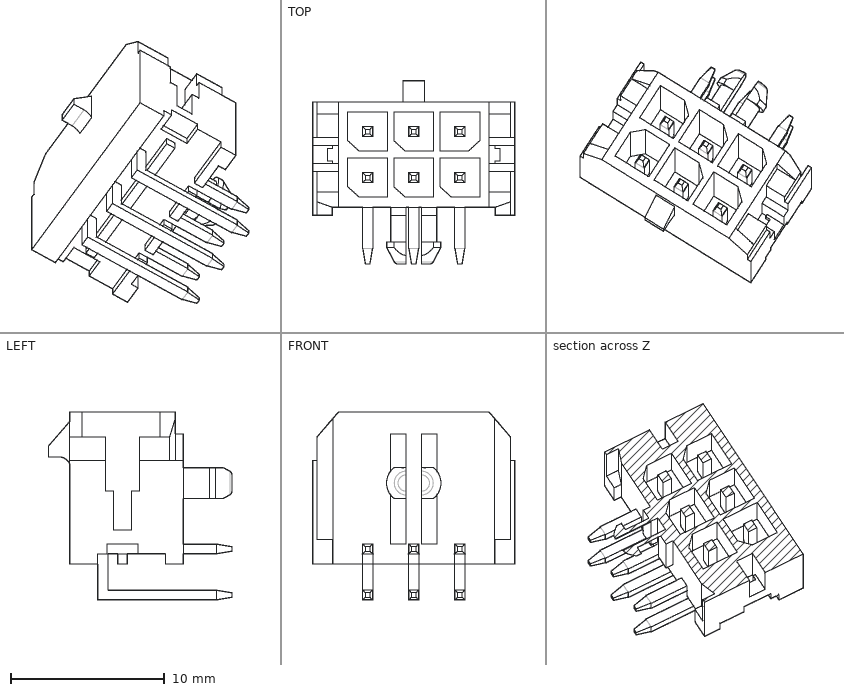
import cadquery as cq


OVERALL_X = 13.15
OVERALL_Y = 11.95
OVERALL_Z = 12.24

PITCH = 3.0
COLUMNS = (-PITCH, 0.0, PITCH)
ROWS = (-PITCH / 2, PITCH / 2)

BODY_TOP = 9.91
BODY_HALF_X = 4.9
BODY_HALF_Y = 3.44
STANDOFF_Y = -3.96

WING_HALF_X = 6.31
WING_TOP = 8.27
WING_BEVEL_START_X = 5.26
WING_BEVEL_END_Y = -3.07
REAR_GUSSET_Y = 2.64
FRONT_GUSSET_Y = -2.43

PLATE_HALF_X = OVERALL_X / 2
PLATE_TOP = 6.76
FOOT_INNER_X = 5.29
FOOT_TOP = 1.61

SLOT_HALF_Y = 1.1
SLOT_STEP_Z = 4.76
SLOT_LOWER_HALF_Y = 0.58
SLOT_FLOOR_Z = 2.23
CLIP_POCKET_FLOOR_Z = FOOT_TOP
CLIP_POCKET_X = 5.63
CLIP_POCKET_HALF_Y = 0.4
SIDE_NOTCH_HALF_Y = 1.0

CAVITY_X = 2.6
CAVITY_Y = 2.53
CAVITY_CORNER_X = 0.74
CAVITY_CORNER_Y = 0.68
CAVITY_FLOOR_Z = SLOT_FLOOR_Z

PIN_WIDTH = 0.7
PIN_THICKNESS = 0.64
PIN_TIP_BASE = PIN_THICKNESS
PIN_TIP_END = 0.3
PIN_TIP_LENGTH = 1.01
PIN_END_Y = -7.135
PIN_BOTTOM_Z = BODY_TOP - OVERALL_Z
CONTACT_TIP_Z = 7.4
REAR_TAIL_BACK_Y = 1.61
REAR_TAIL_DEPTH = 0.68

GAP_HEIGHT = 0.67
GAP_FRONT_Y = -2.8
GAP_BACK_Y = REAR_TAIL_BACK_Y
UNDER_RIB_HALF_Y = 0.32
FRONT_PIN_Z = GAP_HEIGHT + PIN_THICKNESS / 2

RIB_INNER_X = 0.49
RIB_OUTER_X = 1.5
RIB_BOTTOM = 1.3
RIB_TOP = 8.48

PEG_Z = 5.28
PEG_RADIUS = RIB_OUTER_X - RIB_INNER_X
PEG_HEAD_RADIUS = 1.28
PEG_HEAD_START_Y = -5.68
PEG_CONE_START_Y = -6.06
PEG_END_RADIUS = 0.7
PEG_END_ROUND = 0.28

LATCH_WIDTH = 1.43
LATCH_TIP_Y = PIN_END_Y + OVERALL_Y
LATCH_RAMP_TOP = 9.28
LATCH_TIP_TOP = 7.70
LATCH_TIP_BOTTOM = 6.97
LATCH_ARC_START_Y = 4.035
LATCH_ARC_BOTTOM = 6.53
LATCH_ARC_RADIUS = 0.8


def block(x0, x1, y0, y1, z0, z1):
    """Axis-aligned box between two opposite corners."""
    return cq.Workplane("XY").box(x1 - x0, y1 - y0, z1 - z0, centered=False).translate((x0, y0, z0))


def both_sides(shape):
    """The shape together with its mirror image across the YZ plane."""
    return shape.union(shape.mirror("YZ"))


def gusset(y0, y1):
    """Sloped rib between the body top and the wing shoulder."""
    return (
        cq.Workplane("XZ", origin=(0, y1, 0))
        .polyline([
            (BODY_HALF_X, BODY_TOP),
            (WING_HALF_X, WING_TOP),
            (BODY_HALF_X, WING_TOP),
        ])
        .close()
        .extrude(y1 - y0)
    )


def wing():
    """+X wing: shoulder block and two gussets, trimmed by the bevelled front corner."""
    solid = block(BODY_HALF_X, WING_HALF_X, -BODY_HALF_Y, BODY_HALF_Y, 0, WING_TOP)
    solid = solid.union(gusset(REAR_GUSSET_Y, BODY_HALF_Y))
    solid = solid.union(gusset(-BODY_HALF_Y, FRONT_GUSSET_Y))
    outline = (
        cq.Workplane("XY")
        .polyline([
            (BODY_HALF_X, -BODY_HALF_Y),
            (WING_BEVEL_START_X, -BODY_HALF_Y),
            (WING_HALF_X, WING_BEVEL_END_Y),
            (WING_HALF_X, BODY_HALF_Y),
            (BODY_HALF_X, BODY_HALF_Y),
        ])
        .close()
        .extrude(BODY_TOP)
    )
    return solid.intersect(outline)


def side_assembly():
    """+X wing, plate and foot with the clip slot, clip pocket and bottom notch cut out."""
    side = wing()
    side = side.union(block(WING_HALF_X, PLATE_HALF_X, STANDOFF_Y, BODY_HALF_Y, 0, PLATE_TOP))
    side = side.union(block(FOOT_INNER_X, PLATE_HALF_X, STANDOFF_Y, GAP_FRONT_Y, 0, FOOT_TOP))
    side = side.cut(block(BODY_HALF_X, PLATE_HALF_X, -SLOT_HALF_Y, SLOT_HALF_Y, SLOT_STEP_Z, BODY_TOP))
    side = side.cut(block(
        BODY_HALF_X, PLATE_HALF_X, -SLOT_LOWER_HALF_Y, SLOT_LOWER_HALF_Y, SLOT_FLOOR_Z, SLOT_STEP_Z))
    pocket = block(
        BODY_HALF_X, FOOT_INNER_X, -SLOT_LOWER_HALF_Y, SLOT_LOWER_HALF_Y,
        CLIP_POCKET_FLOOR_Z, SLOT_FLOOR_Z)
    pocket = pocket.union(block(
        FOOT_INNER_X, CLIP_POCKET_X, -CLIP_POCKET_HALF_Y, CLIP_POCKET_HALF_Y,
        CLIP_POCKET_FLOOR_Z, SLOT_FLOOR_Z))
    side = side.cut(pocket)
    notch_top = GAP_HEIGHT + PIN_THICKNESS
    return side.cut(block(
        FOOT_INNER_X, PLATE_HALF_X, -SIDE_NOTCH_HALF_Y, SIDE_NOTCH_HALF_Y, GAP_HEIGHT, notch_top))


def cavity(x, y, corner_side):
    """Contact cavity with one front corner cut off; corner_side is -1 for left, +1 for right."""
    half_x = corner_side * CAVITY_X / 2
    half_y = CAVITY_Y / 2
    return (
        cq.Workplane("XY", origin=(x, y, CAVITY_FLOOR_Z))
        .polyline([
            (half_x, half_y),
            (half_x, -half_y + CAVITY_CORNER_Y),
            (half_x - corner_side * CAVITY_CORNER_X, -half_y),
            (-half_x, -half_y),
            (-half_x, half_y),
        ])
        .close()
        .extrude(BODY_TOP - CAVITY_FLOOR_Z)
    )


def pointed(plane, origin, length):
    """Straight pin of the given total length with a tapered square tip."""
    shank_length = length - PIN_TIP_LENGTH
    shank = cq.Workplane(plane, origin=origin).rect(PIN_WIDTH, PIN_THICKNESS).extrude(shank_length)
    tip = (
        cq.Workplane(plane, origin=origin)
        .workplane(offset=shank_length)
        .rect(PIN_TIP_BASE, PIN_TIP_BASE)
        .workplane(offset=PIN_TIP_LENGTH)
        .rect(PIN_TIP_END, PIN_TIP_END)
        .loft(ruled=True)
    )
    return shank.union(tip)


def contact(x, y):
    """Upright contact standing on the cavity floor."""
    root_z = CAVITY_FLOOR_Z - PIN_THICKNESS
    return pointed("XY", (x, y, root_z), CONTACT_TIP_Z - root_z)


def front_tail(x):
    """Straight board tail of the front row."""
    root_y = ROWS[0]
    return pointed("XZ", (x, root_y, FRONT_PIN_Z), root_y - PIN_END_Y)


def rear_tail(x):
    """Bent board tail of the rear row: down at the back of the gap, then forward."""
    down = block(
        x - PIN_WIDTH / 2, x + PIN_WIDTH / 2,
        REAR_TAIL_BACK_Y - REAR_TAIL_DEPTH, REAR_TAIL_BACK_Y,
        PIN_BOTTOM_Z, FRONT_PIN_Z)
    root = (x, REAR_TAIL_BACK_Y, PIN_BOTTOM_Z + PIN_THICKNESS / 2)
    return down.union(pointed("XZ", root, REAR_TAIL_BACK_Y - PIN_END_Y))


def peg_prong():
    """+X half of the split peg: a turned prong halved at the split, with its head flattened."""
    turned = (
        cq.Workplane("XY", origin=(RIB_INNER_X, 0, PEG_Z))
        .polyline([
            (0, -BODY_HALF_Y),
            (PEG_RADIUS, -BODY_HALF_Y),
            (PEG_RADIUS, PEG_HEAD_START_Y),
            (PEG_HEAD_RADIUS, PEG_HEAD_START_Y),
            (PEG_HEAD_RADIUS, PEG_CONE_START_Y),
            (PEG_END_RADIUS, PIN_END_Y),
            (0, PIN_END_Y),
        ])
        .close()
        .revolve(360, (0, 0), (0, 1))
        .faces("<Y").edges().fillet(PEG_END_ROUND)
    )
    keep = block(
        RIB_INNER_X, RIB_INNER_X + PEG_HEAD_RADIUS,
        PIN_END_Y, -BODY_HALF_Y,
        PEG_Z - PEG_RADIUS, PEG_Z + PEG_RADIUS)
    return turned.intersect(keep)


def latch():
    """Latch ramp with a concave underside."""
    return (
        cq.Workplane("YZ", origin=(-LATCH_WIDTH / 2, 0, 0))
        .moveTo(BODY_HALF_Y, LATCH_RAMP_TOP)
        .lineTo(LATCH_TIP_Y, LATCH_TIP_TOP)
        .lineTo(LATCH_TIP_Y, LATCH_TIP_BOTTOM)
        .lineTo(LATCH_ARC_START_Y, LATCH_TIP_BOTTOM)
        .radiusArc((BODY_HALF_Y, LATCH_ARC_BOTTOM), -LATCH_ARC_RADIUS)
        .close()
        .extrude(LATCH_WIDTH)
    )


housing = block(-BODY_HALF_X, BODY_HALF_X, -BODY_HALF_Y, BODY_HALF_Y, 0, BODY_TOP)
housing = housing.union(both_sides(side_assembly()))

housing = housing.cut(block(-PLATE_HALF_X, PLATE_HALF_X, GAP_FRONT_Y, GAP_BACK_Y, 0, GAP_HEIGHT))
housing = housing.union(block(
    -BODY_HALF_X, BODY_HALF_X, -UNDER_RIB_HALF_Y, UNDER_RIB_HALF_Y, 0, GAP_HEIGHT))

for column_x in COLUMNS:
    for row_y in ROWS:
        is_rear_right = column_x == COLUMNS[-1] and row_y == ROWS[-1]
        housing = housing.cut(cavity(column_x, row_y, 1 if is_rear_right else -1))
    housing = housing.cut(block(
        column_x - PIN_WIDTH / 2, column_x + PIN_WIDTH / 2, -BODY_HALF_Y, GAP_FRONT_Y, 0, GAP_HEIGHT))

front_rib = block(RIB_INNER_X, RIB_OUTER_X, STANDOFF_Y, -BODY_HALF_Y, RIB_BOTTOM, RIB_TOP)
housing = housing.union(both_sides(front_rib.union(peg_prong())))
housing = housing.union(latch())

for column_x in COLUMNS:
    for row_y in ROWS:
        housing = housing.union(contact(column_x, row_y))
    housing = housing.union(front_tail(column_x))
    housing = housing.union(rear_tail(column_x))

result = housing